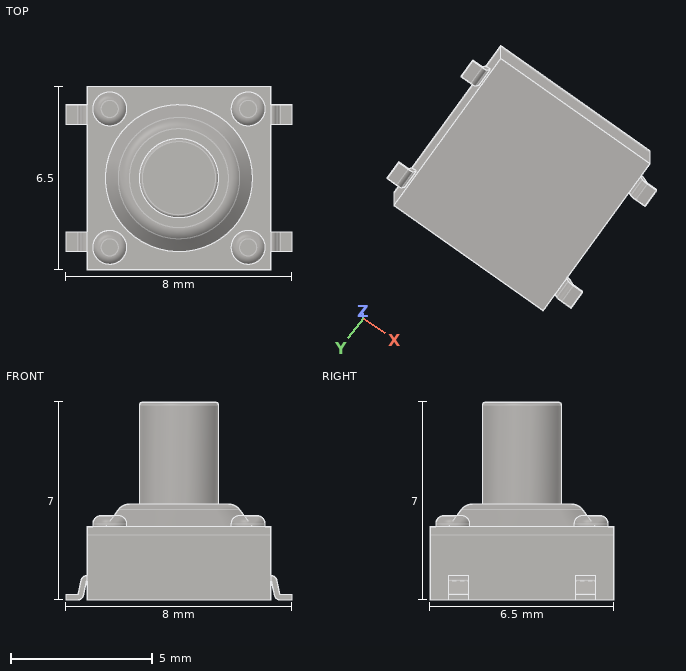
import cadquery as cq
import math

overall_length = 8.0
housing_side = 6.5
housing_height = 2.6
cover_thickness = 0.3
base_height = housing_height - cover_thickness

collar_base_radius = 2.6
collar_top_radius = 2.0
collar_height = 0.8
collar_round = 0.5

plunger_top = 7.0
plunger_radius = 1.4
plunger_round = 0.1

rivet_radius = 0.6
rivet_height = 0.39
rivet_round = 0.3
rivet_pitch = 4.9

leg_thickness = 0.2
leg_width = 0.7
leg_pitch = 4.5
leg_top = 0.87
leg_inner_bend = 0.02
leg_tilt = math.radians(12)
leg_embed = 0.2


def make_housing():
    """Base and cover plate joined without merging their flush side faces, so the seam stays."""
    base = cq.Workplane("XY").box(housing_side, housing_side, base_height, centered=(True, True, False))
    cover = (
        cq.Workplane("XY")
        .workplane(offset=base_height)
        .box(housing_side, housing_side, cover_thickness, centered=(True, True, False))
    )
    return base.union(cover, clean=False)


def make_collar():
    cone = cq.Solid.makeCone(
        collar_base_radius, collar_top_radius, collar_height, cq.Vector(0, 0, housing_height)
    )
    return cq.Workplane(cone).faces(">Z").edges().fillet(collar_round)


def make_plunger():
    return (
        cq.Workplane("XY")
        .workplane(offset=housing_height)
        .circle(plunger_radius)
        .extrude(plunger_top - housing_height)
        .faces(">Z")
        .edges()
        .fillet(plunger_round)
    )


def make_rivets():
    return (
        cq.Workplane("XY")
        .workplane(offset=housing_height)
        .rect(rivet_pitch, rivet_pitch, forConstruction=True)
        .vertices()
        .circle(rivet_radius)
        .extrude(rivet_height)
        .faces(">Z")
        .edges()
        .fillet(rivet_round)
    )


def make_leg():
    """Terminal on the -X side, centred on Y = 0: foot, tilted strut and a short tail inside the base."""
    outer_bend = leg_inner_bend + leg_thickness
    strut_x, strut_z = math.sin(leg_tilt), math.cos(leg_tilt)
    normal_x, normal_z = strut_z, -strut_x

    upper_x = -housing_side / 2
    upper_z = leg_top - outer_bend
    lower_z = outer_bend
    across = leg_inner_bend + outer_bend
    strut_length = (upper_z - lower_z - across * normal_z) / strut_z
    lower_x = upper_x - across * normal_x - strut_length * strut_x

    def on_lower(radius, angle):
        return lower_x + radius * math.cos(angle), lower_z + radius * math.sin(angle)

    def on_upper(radius, angle):
        return upper_x + radius * math.cos(angle), upper_z + radius * math.sin(angle)

    lower_start = -math.pi / 2
    lower_end = -leg_tilt
    lower_mid = (lower_start + lower_end) / 2
    upper_start = math.pi - leg_tilt
    upper_end = math.pi / 2
    upper_mid = (upper_start + upper_end) / 2

    toe_x = -overall_length / 2
    tail_x = upper_x + leg_embed
    profile = (
        cq.Workplane("XZ")
        .moveTo(toe_x, 0)
        .lineTo(*on_lower(outer_bend, lower_start))
        .threePointArc(on_lower(outer_bend, lower_mid), on_lower(outer_bend, lower_end))
        .lineTo(*on_upper(leg_inner_bend, upper_start))
        .threePointArc(on_upper(leg_inner_bend, upper_mid), on_upper(leg_inner_bend, upper_end))
        .lineTo(tail_x, leg_top - leg_thickness)
        .lineTo(tail_x, leg_top)
        .lineTo(*on_upper(outer_bend, upper_end))
        .threePointArc(on_upper(outer_bend, upper_mid), on_upper(outer_bend, upper_start))
        .lineTo(*on_lower(leg_inner_bend, lower_end))
        .threePointArc(on_lower(leg_inner_bend, lower_mid), on_lower(leg_inner_bend, lower_start))
        .lineTo(toe_x, leg_thickness)
        .close()
    )
    return profile.extrude(leg_width / 2, both=True)


features = [make_collar(), make_plunger(), make_rivets()]
for leg_y in (-leg_pitch / 2, leg_pitch / 2):
    left_leg = make_leg().translate((0, leg_y, 0))
    features += [left_leg, left_leg.mirror("YZ")]

result = make_housing()
for feature in features:
    result = result.union(feature, clean=False)